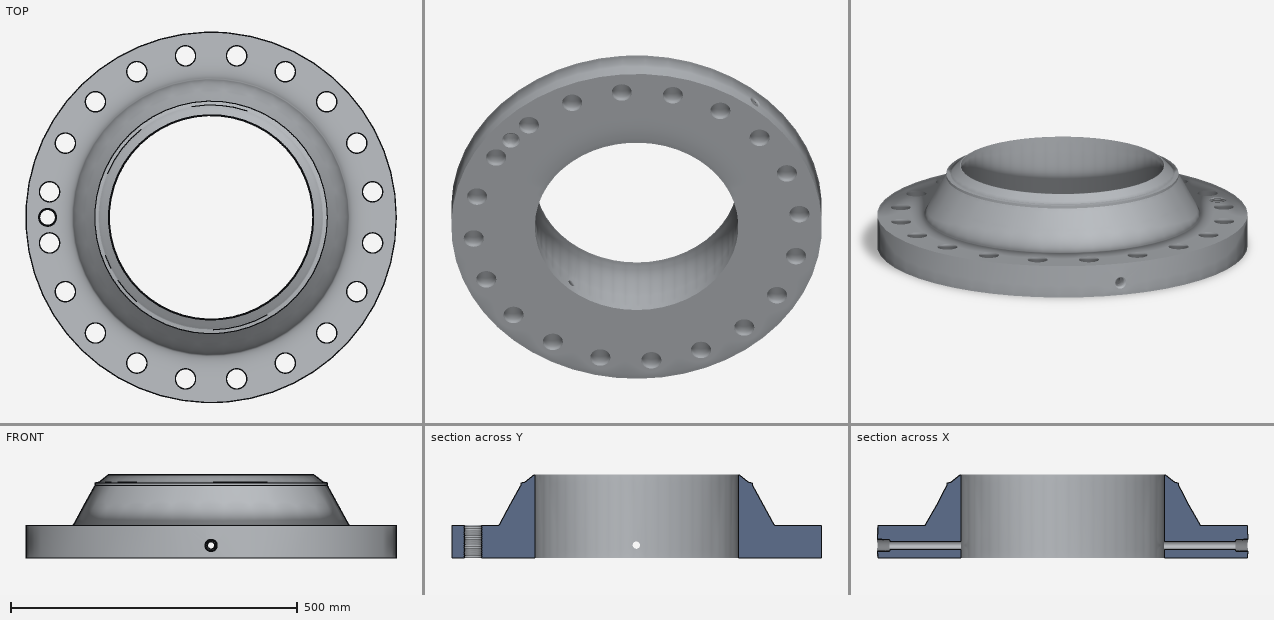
import cadquery as cq
import math

inch = 25.4

flange_diameter = 647.7
flange_thickness = 57.15
overall_height = 146.05
bore_diameter = 355.6

hub_base_diameter = 482.6
hub_tip_diameter = 406.4
hub_base_fillet = 3.0
tip_band_bottom = 126.9
tip_band_top = 131.6

ledge_angle = 10.0
ledge_inner_diameter = 391.6
ledge_fillet = 2.5
bevel_land = 1.6

bolt_count = 20
bolt_circle_diameter = 571.5
bolt_hole_diameter = 34.925

jack_minor_diameter = 27.5
jack_major_diameter = 31.2
jack_pitch = inch / 8

tap_height = 22.3
tap_passage_diameter = 12.7
tap_minor_diameter = 18.0
tap_major_diameter = 21.3
tap_pitch = inch / 14
tap_thread_count = 12
tap_thread_depth = tap_thread_count * tap_pitch


def make_body():
    """Revolve the flange plate, tapered hub and bevelled tip about Z."""
    bore_radius = bore_diameter / 2
    hub_tip_radius = hub_tip_diameter / 2
    ledge_inner_radius = ledge_inner_diameter / 2
    ledge_rise = (hub_tip_radius - ledge_inner_radius) * math.tan(math.radians(ledge_angle))
    ledge_top = tip_band_top + ledge_rise
    body = (
        cq.Workplane("XZ")
        .moveTo(bore_radius, 0)
        .lineTo(flange_diameter / 2, 0)
        .lineTo(flange_diameter / 2, flange_thickness)
        .lineTo(hub_base_diameter / 2, flange_thickness)
        .lineTo(hub_tip_radius, tip_band_bottom)
        .lineTo(hub_tip_radius, tip_band_top)
        .lineTo(ledge_inner_radius, ledge_top)
        .lineTo(bore_radius + bevel_land, overall_height)
        .lineTo(bore_radius, overall_height)
        .close()
        .revolve(360, (0, 0, 0), (0, 1, 0))
    )
    body = fillet_ring(body, hub_base_diameter, flange_thickness, hub_base_fillet)
    return fillet_ring(body, ledge_inner_diameter, ledge_top, ledge_fillet)


def fillet_ring(body, diameter, height, radius):
    """Round the circular edge with this diameter and height."""
    margin = 0.1
    reach = diameter / 2 + margin
    edge_box = cq.selectors.BoxSelector(
        (-reach, -reach, height - margin),
        (reach, reach, height + margin),
        boundingbox=True,
    )
    return body.edges(edge_box).fillet(radius)


def make_bolt_holes():
    """Through holes on the bolt circle, half a pitch away from the X axis."""
    return (
        cq.Workplane("XY")
        .polarArray(bolt_circle_diameter / 2, 180 / bolt_count, 360, bolt_count)
        .circle(bolt_hole_diameter / 2)
        .extrude(flange_thickness)
    )


def make_threaded_plug(plane, minor_diameter, major_diameter, pitch, depth):
    """Solid filling a threaded hole: V-shaped rings, widest at the mouth on the plane origin.

    The hole axis is the local Y axis of the plane and the hole runs towards -Y.
    """
    plug = cq.Workplane(plane).lineTo(major_diameter / 2, 0)
    ring_count = round(depth / pitch)
    ring_pitch = depth / ring_count
    for ring in range(ring_count):
        mouth_distance = ring * ring_pitch
        plug = plug.lineTo(minor_diameter / 2, -mouth_distance - ring_pitch / 2)
        plug = plug.lineTo(major_diameter / 2, -mouth_distance - ring_pitch)
    return plug.lineTo(0, -depth).close().revolve(360, (0, 0, 0), (0, 1, 0))


def make_jack_hole():
    """Threaded hole through the full flange thickness."""
    mouth = (-bolt_circle_diameter / 2, 0, flange_thickness)
    plane = cq.Plane(origin=mouth, xDir=(1, 0, 0), normal=(0, -1, 0))
    return make_threaded_plug(plane, jack_minor_diameter, jack_major_diameter, jack_pitch, flange_thickness)


def make_pressure_tap(side):
    """Radial tap from the rim to the bore; side is -1 for -Y and 1 for +Y."""
    rim_point = cq.Vector(0, side * flange_diameter / 2, tap_height)
    inward = cq.Vector(0, -side, 0)
    passage_length = flange_diameter / 2 - bore_diameter / 4
    passage = cq.Solid.makeCylinder(tap_passage_diameter / 2, passage_length, rim_point, inward)
    plane = cq.Plane(origin=rim_point, xDir=(1, 0, 0), normal=(0, 0, side))
    socket = make_threaded_plug(plane, tap_minor_diameter, tap_major_diameter, tap_pitch, tap_thread_depth)
    return socket.union(cq.Workplane(passage))


result = make_body().cut(make_bolt_holes()).cut(make_jack_hole())
for tap_side in (-1, 1):
    result = result.cut(make_pressure_tap(tap_side))